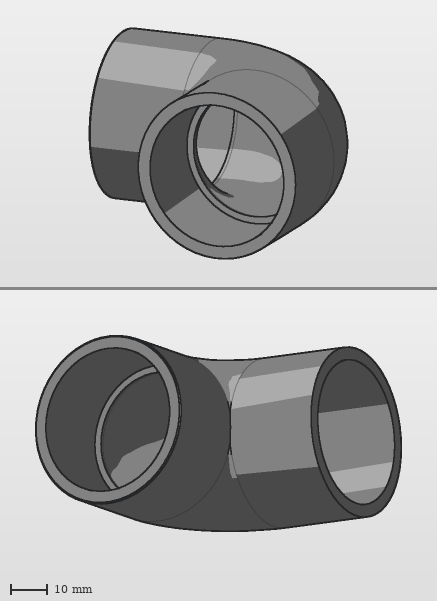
import cadquery as cq

overall = 73.0
outer_diameter = 47.0
socket_diameter = 40.0
bore_diameter = 36.05
leg_length = 26.4
socket_depth = 25.55
rim_chamfer = 0.4
bend_angle = 90

outer_radius = outer_diameter / 2
axis_length = overall - outer_radius
bend_radius = axis_length - leg_length
pivot = (-bend_radius, -bend_radius)


def leg_x(diameter, length):
    """Cylinder running inward from the -X mouth."""
    mouth = cq.Workplane("YZ", origin=(-axis_length, 0, 0))
    return mouth.circle(diameter / 2).extrude(length)


def leg_y(diameter, length):
    """Cylinder running inward from the -Y mouth."""
    mouth = cq.Workplane("XZ", origin=(0, -axis_length, 0))
    return mouth.circle(diameter / 2).extrude(-length)


def quarter_turn(diameter):
    """Quarter turn joining the legs; a section reaching past the pivot axis is cut off there."""
    radius = diameter / 2
    sketch = cq.Workplane("XZ", origin=(pivot[0], pivot[1], 0))
    if radius <= bend_radius:
        sketch = sketch.center(bend_radius, 0).circle(radius)
        return sketch.revolve(bend_angle, (-bend_radius, 0), (-bend_radius, 1))
    half_chord = (radius**2 - bend_radius**2) ** 0.5
    sketch = (
        sketch.moveTo(0, -half_chord)
        .threePointArc((bend_radius + radius, 0), (0, half_chord))
        .close()
    )
    turn = sketch.revolve(bend_angle, (0, 0), (0, 1))
    return cq.Workplane(turn.val().toNURBS())


body = leg_x(outer_diameter, leg_length).faces("<X").edges().chamfer(rim_chamfer)
body = body.union(leg_y(outer_diameter, leg_length)).union(quarter_turn(outer_diameter))

for cutter in (
    quarter_turn(bore_diameter),
    leg_x(bore_diameter, leg_length),
    leg_y(bore_diameter, leg_length),
    leg_x(socket_diameter, socket_depth),
    leg_y(socket_diameter, socket_depth),
):
    body = body.cut(cutter)

result = body